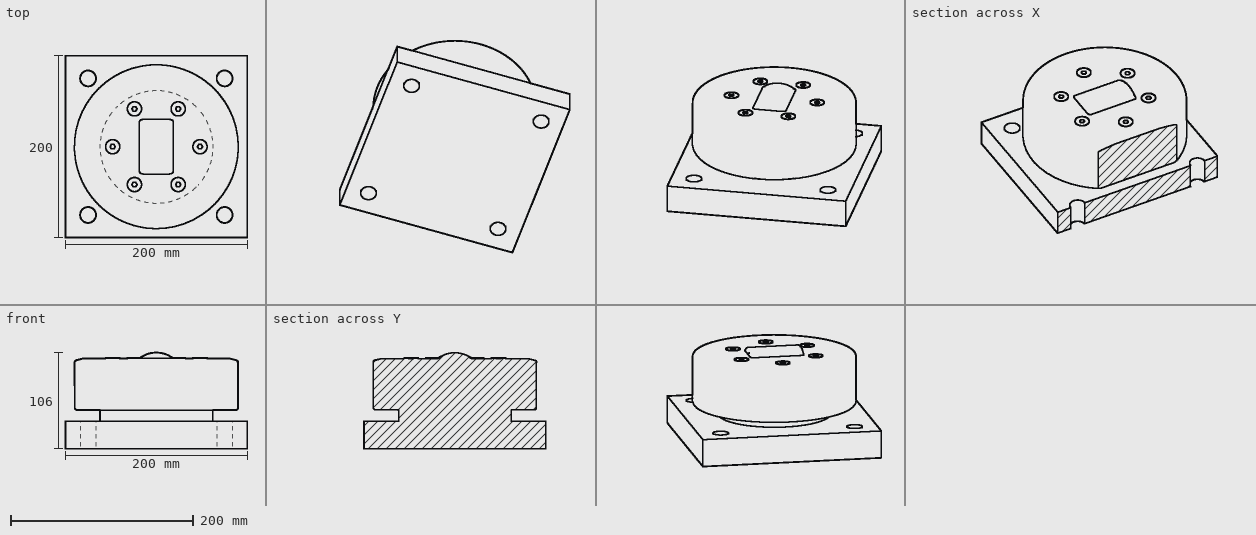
import cadquery as cq

PLATE_SIDE = 200.0
PLATE_THICKNESS = 30.5
MOUNT_HOLE_DIAMETER = 17.2
MOUNT_HOLE_PITCH = 150.0

NECK_DIAMETER = 124.0
HEAD_BOTTOM_Z = 42.5
HEAD_TOP_Z = 99.5
HEAD_DIAMETER = 180.0
HEAD_FLAT_DIAMETER = 160.0
HEAD_BEVEL_HEIGHT = 2.5
HEAD_EDGE_FILLET = 3.0

SCREW_COUNT = 6
SCREW_CIRCLE_RADIUS = 48.0
SCREW_HEAD_DIAMETER = 15.5
SCREW_HEAD_HEIGHT = 0.5
SOCKET_ACROSS_CORNERS = 5.5
SOCKET_DEPTH = 0.5

ROLLER_TOP_Z = 106.0
ROLLER_RADIUS = 30.0
ROLLER_LENGTH = 60.0
ROLLER_END_FILLET = 2.5


def make_plate():
    plate = cq.Workplane("XY").box(PLATE_SIDE, PLATE_SIDE, PLATE_THICKNESS, centered=(True, True, False))
    return (
        plate.faces(">Z").workplane()
        .rect(MOUNT_HOLE_PITCH, MOUNT_HOLE_PITCH, forConstruction=True)
        .vertices()
        .hole(MOUNT_HOLE_DIAMETER)
    )


def make_neck():
    neck_height = HEAD_BOTTOM_Z - PLATE_THICKNESS
    return cq.Workplane("XY").workplane(offset=PLATE_THICKNESS).circle(NECK_DIAMETER / 2).extrude(neck_height)


def make_head():
    """Disc with a shallow conical bevel on top and rounded outer edges."""
    outer_radius = HEAD_DIAMETER / 2
    half_profile = [
        (0, HEAD_BOTTOM_Z),
        (outer_radius, HEAD_BOTTOM_Z),
        (outer_radius, HEAD_TOP_Z - HEAD_BEVEL_HEIGHT),
        (HEAD_FLAT_DIAMETER / 2, HEAD_TOP_Z),
        (0, HEAD_TOP_Z),
    ]
    head = cq.Workplane("XZ").polyline(half_profile).close().revolve(360, (0, 0), (0, 1))
    outer_edges = cq.selectors.RadiusNthSelector(-1)
    return head.edges("%CIRCLE").edges(outer_edges).fillet(HEAD_EDGE_FILLET)


def make_roller():
    roller = (
        cq.Workplane("XZ", origin=(0, 0, ROLLER_TOP_Z - ROLLER_RADIUS))
        .circle(ROLLER_RADIUS)
        .extrude(ROLLER_LENGTH / 2, both=True)
    )
    return roller.edges("%CIRCLE").fillet(ROLLER_END_FILLET)


def screw_positions(z):
    """Workplane at height z with one point per screw, all in the same orientation."""
    return (
        cq.Workplane("XY").workplane(offset=z)
        .polarArray(SCREW_CIRCLE_RADIUS, 0, 360, SCREW_COUNT, rotate=False)
    )


def make_screw_heads():
    return screw_positions(HEAD_TOP_Z).circle(SCREW_HEAD_DIAMETER / 2).extrude(SCREW_HEAD_HEIGHT)


def make_sockets():
    screw_top_z = HEAD_TOP_Z + SCREW_HEAD_HEIGHT
    return screw_positions(screw_top_z).polygon(6, SOCKET_ACROSS_CORNERS).extrude(-SOCKET_DEPTH)


result = (
    make_plate()
    .union(make_neck())
    .union(make_head())
    .union(make_roller())
    .union(make_screw_heads())
    .cut(make_sockets())
)